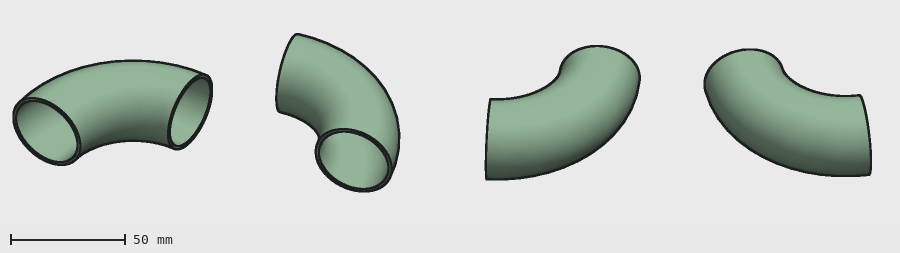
import cadquery as cq

outer_diameter = 35.0
wall_thickness = 1.5
bend_radius = 45.0
bend_angle = 90.0

outer_radius = outer_diameter / 2
inner_radius = outer_radius - wall_thickness


def pipe_elbow():
    """Sweep the ring section about the Z axis, from the -Y opening to the +X opening."""
    section = (
        cq.Workplane("XZ")
        .center(-bend_radius, 0)
        .circle(outer_radius)
        .circle(inner_radius)
    )
    axis_start = (bend_radius, 0)
    axis_end = (bend_radius, -1)
    return section.revolve(bend_angle, axis_start, axis_end)


result = pipe_elbow()